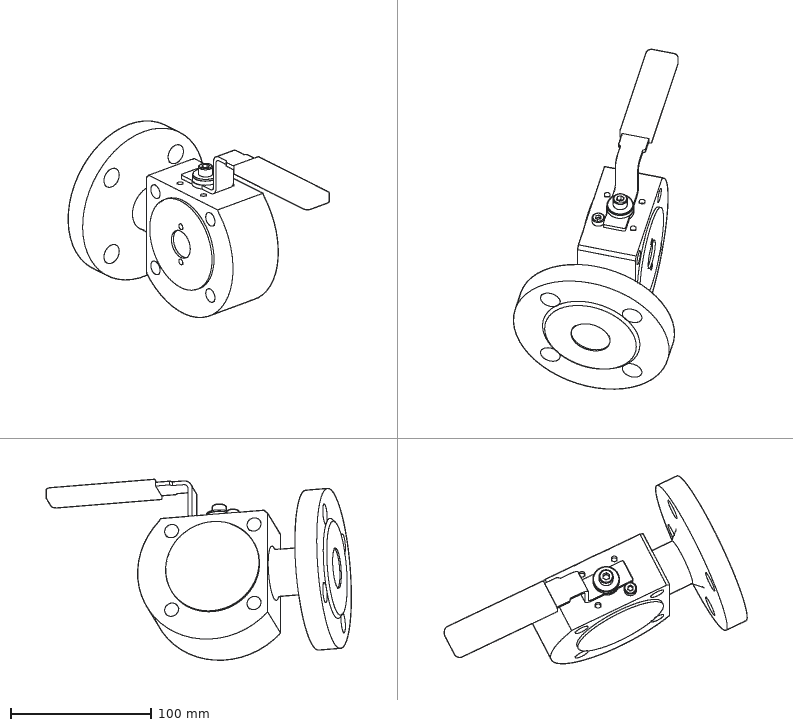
import cadquery as cq
import math


FLANGE_RADIUS = 57.3
FLANGE_BACK_X = -67.8
FLANGE_THICKNESS = 16.0
RAISED_FACE_HEIGHT = 2.0
RAISED_FACE_ROOT_RADIUS = 35.8
RAISED_FACE_RADIUS = 33.7
HUB_RADIUS = 23.8
HUB_LENGTH = 7.4
HUB_FILLET = 3.4
NECK_RADIUS = 16.8
FLARE_START_X = -43.5
FLARE_RADIUS = 3.8
FLANGE_BORE_RADIUS = 14.3
FLANGE_BORE_DEPTH = 1.0
FLANGE_BOLT_HOLE_RADIUS = 7.2

BOLT_CIRCLE_RADIUS = 42.5
BOLT_OFFSET = BOLT_CIRCLE_RADIUS / math.sqrt(2)

BODY_RADIUS = 55.0
BODY_WIDTH = 42.5
BODY_LEFT_X = -40.0
BODY_TOP_Z = 40.5
BODY_CHAMFER = 2.5
BODY_TOP_RIGHT_X = 38.0
BODY_CORNER_DROP = 2.0
PAD_RADIUS = 34.0
PAD_HEIGHT = 1.9
BODY_BOLT_HOLE_RADIUS = 5.0
PORT_RADIUS = 10.3
PORT_DEPTH = 1.9
PIN_HOLE_RADIUS = 2.0
PIN_HOLE_OFFSET = 13.9
PIN_HOLE_DEPTH = 4.2

CONE_DEPTH_RATIO = 0.6

MOUNT_OFFSET = 12.8
MOUNT_HOLE_RADIUS = 2.0
MOUNT_HOLE_DEPTH = 4.2
STOP_SCREW_RADIUS = 4.5
STOP_SCREW_HEIGHT = 4.6
STOP_SCREW_CHAMFER = 0.6
STOP_SOCKET_WIDTH = 3.5
STOP_SOCKET_DEPTH = 2.5

STEM_RADIUS = 5.0
COLLAR_RADIUS = 9.5
COLLAR_STEP_Z = 47.2
COLLAR_TOP_RADIUS = 9.0
COLLAR_TOP_Z = 48.5
STEM_TOP_Z = 54.7
STEM_CHAMFER = 0.6
STEM_SOCKET_WIDTH = 4.6
STEM_SOCKET_DEPTH = 4.2

STRAP_THICKNESS = 3.0
STRAP_WIDTH = 16.5
STRAP_LEFT_X = -17.7
STRAP_CORNER_RADIUS = 1.3
STRAP_EYE_RADIUS = 9.9
STRAP_BOTTOM_Z = 41.0
STRAP_TOP_Z = 73.0
RISER_RIGHT_X = 21.0
BEND_INNER_RADIUS = 3.2
WIDE_STRAP_WIDTH = 19.8
WIDENING_START_X = 32.5
WIDENING_END_X = 34.0

GRIP_LEFT_X = 44.2
GRIP_RIGHT_X = 124.6
GRIP_WIDTH = 23.5
GRIP_HEIGHT = 7.2
GRIP_TOP_Z = 75.0
GRIP_CORNER_RADIUS = 4.2
GRIP_EDGE_FILLET = 0.8

SELECT_MARGIN = 0.2


def edges_near(x, z, reach=SELECT_MARGIN):
    half_height = reach + SELECT_MARGIN
    return cq.selectors.BoxSelector(
        (x - SELECT_MARGIN, -FLANGE_RADIUS, z - half_height),
        (x + SELECT_MARGIN, FLANGE_RADIUS, z + half_height),
        boundingbox=True,
    )


def cylinder_z(radius, bottom_z, top_z, x=0, y=0):
    return cq.Workplane("XY", origin=(x, y, bottom_z)).circle(radius).extrude(top_z - bottom_z)


def hex_pocket(across_flats, top_z, depth, x=0, y=0):
    across_corners = across_flats / math.cos(math.pi / 6)
    radius = across_flats / 2
    hexagon = cq.Workplane("XY", origin=(x, y, top_z)).polygon(6, across_corners).extrude(-depth)
    cone_base = cq.Vector(x, y, top_z - depth)
    cone = cq.Solid.makeCone(radius, 0, radius * CONE_DEPTH_RATIO, cone_base, cq.Vector(0, 0, -1))
    return hexagon.union(cq.Workplane(cone))


def bolt_holes(plane, radius, start, length):
    signs = (-1, 1)
    spots = [(a * BOLT_OFFSET, b * BOLT_OFFSET) for a in signs for b in signs]
    return cq.Workplane(plane).workplane(offset=start).pushPoints(spots).circle(radius).extrude(length)


def make_flange():
    front_x = FLANGE_BACK_X - FLANGE_THICKNESS
    face_x = front_x - RAISED_FACE_HEIGHT
    flare_end_x = FLARE_START_X + FLARE_RADIUS
    flare_mid = FLARE_RADIUS / math.sqrt(2)
    profile = (
        cq.Workplane("XZ")
        .moveTo(face_x, 0)
        .lineTo(face_x, RAISED_FACE_RADIUS)
        .lineTo(front_x, RAISED_FACE_ROOT_RADIUS)
        .lineTo(front_x, FLANGE_RADIUS)
        .lineTo(FLANGE_BACK_X, FLANGE_RADIUS)
        .lineTo(FLANGE_BACK_X, HUB_RADIUS)
        .lineTo(FLANGE_BACK_X + HUB_LENGTH, NECK_RADIUS)
        .lineTo(FLARE_START_X, NECK_RADIUS)
        .threePointArc(
            (FLARE_START_X + flare_mid, NECK_RADIUS + FLARE_RADIUS - flare_mid),
            (flare_end_x, NECK_RADIUS + FLARE_RADIUS),
        )
        .lineTo(flare_end_x, 0)
        .close()
    )
    flange = profile.revolve(360, (0, 0, 0), (1, 0, 0))
    hub_root = edges_near(FLANGE_BACK_X, 0, HUB_RADIUS)
    flange = flange.edges(hub_root).fillet(HUB_FILLET)
    bore = cq.Workplane("YZ", origin=(face_x, 0, 0)).circle(FLANGE_BORE_RADIUS).extrude(FLANGE_BORE_DEPTH)
    holes = bolt_holes("YZ", FLANGE_BOLT_HOLE_RADIUS, front_x, FLANGE_THICKNESS)
    return flange.cut(bore).cut(holes)


def make_body():
    half_width = BODY_WIDTH / 2
    pad_y = half_width + PAD_HEIGHT
    corner_z = BODY_TOP_Z - BODY_CORNER_DROP
    corner_x = math.sqrt(BODY_RADIUS**2 - corner_z**2)
    arc_middle = BODY_RADIUS / math.sqrt(2)
    left_end_z = -math.sqrt(BODY_RADIUS**2 - BODY_LEFT_X**2)
    body = (
        cq.Workplane("XZ")
        .moveTo(BODY_LEFT_X, left_end_z)
        .threePointArc((arc_middle, -arc_middle), (corner_x, corner_z))
        .lineTo(BODY_TOP_RIGHT_X, BODY_TOP_Z)
        .lineTo(BODY_LEFT_X + BODY_CHAMFER, BODY_TOP_Z)
        .lineTo(BODY_LEFT_X, BODY_TOP_Z - BODY_CHAMFER)
        .close()
        .extrude(half_width, both=True)
    )
    body = body.union(cq.Workplane("XZ").circle(PAD_RADIUS).extrude(pad_y, both=True))
    body = body.cut(bolt_holes("XZ", BODY_BOLT_HOLE_RADIUS, -pad_y, 2 * pad_y))

    port_face = cq.Workplane("XZ", origin=(0, -pad_y, 0))
    pin_spots = [(0, PIN_HOLE_OFFSET), (0, -PIN_HOLE_OFFSET)]
    body = body.cut(port_face.circle(PORT_RADIUS).extrude(-PORT_DEPTH))
    body = body.cut(port_face.pushPoints(pin_spots).circle(PIN_HOLE_RADIUS).extrude(-PIN_HOLE_DEPTH))

    mount_spots = [
        (MOUNT_OFFSET, MOUNT_OFFSET),
        (MOUNT_OFFSET, -MOUNT_OFFSET),
        (-MOUNT_OFFSET, -MOUNT_OFFSET),
    ]
    top_face = cq.Workplane("XY", origin=(0, 0, BODY_TOP_Z))
    return body.cut(top_face.pushPoints(mount_spots).circle(MOUNT_HOLE_RADIUS).extrude(-MOUNT_HOLE_DEPTH))


def make_stop_screw():
    x = -MOUNT_OFFSET
    y = MOUNT_OFFSET
    top_z = BODY_TOP_Z + STOP_SCREW_HEIGHT
    head = cylinder_z(STOP_SCREW_RADIUS, BODY_TOP_Z, top_z, x, y).faces(">Z").chamfer(STOP_SCREW_CHAMFER)
    return head.cut(hex_pocket(STOP_SOCKET_WIDTH, top_z, STOP_SOCKET_DEPTH, x, y))


def make_stem():
    strap_top_z = STRAP_BOTTOM_Z + STRAP_THICKNESS
    strap_eye = cylinder_z(STRAP_EYE_RADIUS, STRAP_BOTTOM_Z, strap_top_z)
    collar = cylinder_z(COLLAR_RADIUS, strap_top_z, COLLAR_STEP_Z)
    collar_top = cylinder_z(COLLAR_TOP_RADIUS, COLLAR_STEP_Z, COLLAR_TOP_Z)
    stem = cylinder_z(STEM_RADIUS, BODY_TOP_Z, STEM_TOP_Z).faces(">Z").chamfer(STEM_CHAMFER)
    stem = stem.union(strap_eye).union(collar).union(collar_top)
    return stem.cut(hex_pocket(STEM_SOCKET_WIDTH, STEM_TOP_Z, STEM_SOCKET_DEPTH))


def make_lever():
    strap_end_x = GRIP_LEFT_X + GRIP_EDGE_FILLET
    riser_left_x = RISER_RIGHT_X - STRAP_THICKNESS
    bend_outer_radius = BEND_INNER_RADIUS + STRAP_THICKNESS
    side = (
        cq.Workplane("XZ")
        .moveTo(STRAP_LEFT_X, STRAP_BOTTOM_Z)
        .lineTo(RISER_RIGHT_X, STRAP_BOTTOM_Z)
        .lineTo(RISER_RIGHT_X, STRAP_TOP_Z - STRAP_THICKNESS)
        .lineTo(strap_end_x, STRAP_TOP_Z - STRAP_THICKNESS)
        .lineTo(strap_end_x, STRAP_TOP_Z)
        .lineTo(riser_left_x, STRAP_TOP_Z)
        .lineTo(riser_left_x, STRAP_BOTTOM_Z + STRAP_THICKNESS)
        .lineTo(STRAP_LEFT_X, STRAP_BOTTOM_Z + STRAP_THICKNESS)
        .close()
        .extrude(WIDE_STRAP_WIDTH / 2, both=True)
    )

    outer_corners = [(RISER_RIGHT_X, STRAP_BOTTOM_Z), (riser_left_x, STRAP_TOP_Z)]
    inner_corners = [
        (riser_left_x, STRAP_BOTTOM_Z + STRAP_THICKNESS),
        (RISER_RIGHT_X, STRAP_TOP_Z - STRAP_THICKNESS),
    ]
    for x, z in outer_corners:
        side = side.edges(edges_near(x, z)).fillet(bend_outer_radius)
    for x, z in inner_corners:
        side = side.edges(edges_near(x, z)).fillet(BEND_INNER_RADIUS)

    half_narrow = STRAP_WIDTH / 2
    half_wide = WIDE_STRAP_WIDTH / 2
    plan = (
        cq.Workplane("XY", origin=(0, 0, STRAP_BOTTOM_Z))
        .moveTo(STRAP_LEFT_X, -half_narrow)
        .lineTo(WIDENING_START_X, -half_narrow)
        .lineTo(WIDENING_END_X, -half_wide)
        .lineTo(strap_end_x, -half_wide)
        .lineTo(strap_end_x, half_wide)
        .lineTo(WIDENING_END_X, half_wide)
        .lineTo(WIDENING_START_X, half_narrow)
        .lineTo(STRAP_LEFT_X, half_narrow)
        .close()
        .extrude(STRAP_TOP_Z - STRAP_BOTTOM_Z)
        .edges("|Z and <X")
        .fillet(STRAP_CORNER_RADIUS)
    )
    return side.intersect(plan)


def make_grip():
    grip_length = GRIP_RIGHT_X - GRIP_LEFT_X
    start = cq.Workplane("XY", origin=(GRIP_LEFT_X, 0, GRIP_TOP_Z - GRIP_HEIGHT))
    grip = start.box(grip_length, GRIP_WIDTH, GRIP_HEIGHT, centered=(False, True, False))
    grip = grip.edges("|Z and >X").fillet(GRIP_CORNER_RADIUS)
    return grip.faces("<X or >Z or <Z").edges().fillet(GRIP_EDGE_FILLET)


result = make_body()
for piece in (make_flange(), make_stem(), make_stop_screw(), make_lever(), make_grip()):
    result = result.union(piece)